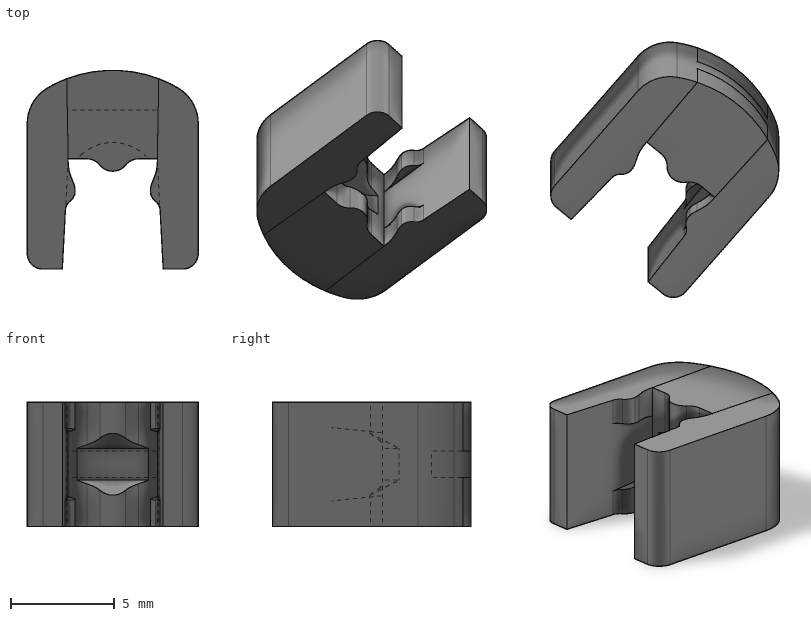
import cadquery as cq
import math

width = 8.25
length = 9.58
height = 6.0
back_radius = 6.23
side_corner_radius = 2.01
front_corner_radius = 0.77

mouth_half_width = 2.42
seat_y = 5.31
seat_half_width = 2.15
back_half_width = 2.22
bridge_height = 1.26
bridge_front_y = 7.66

bump_start_y = 2.86
bump_hollow = (2.06, 3.27)
bump_tip = (1.81, 3.85)
bump_shoulder = (1.93, 4.24)
bump_end_y = seat_y
gap_half_front = 1.76
gap_half_rear = 1.51

nose_half_width = 1.24
nose_depth = 0.59
groove_axis_y = 3.85
groove_radius = 2.25
groove_rim_half_height = 0.77
groove_axis_half_height = 1.935

overrun = 0.1

half_width = width / 2
bottom_z = -height / 2


def channel_half_width(y):
    """Half width of the straight tapered channel wall at the given Y."""
    return mouth_half_width + (seat_half_width - mouth_half_width) * y / seat_y


def prism(outline):
    """Close an XY outline and extrude it over the full height."""
    return outline.close().extrude(height)


def base_plane():
    return cq.Workplane("XY", origin=(0, 0, bottom_z))


def outer_block():
    """Full envelope: crowned back, large rear corners and rounded front corners."""
    back_center_y = length - back_radius
    corner_x = half_width - side_corner_radius
    reach = back_radius - side_corner_radius
    corner_y = back_center_y + math.sqrt(reach**2 - corner_x**2)
    blend_x = corner_x * back_radius / reach
    blend_y = back_center_y + (corner_y - back_center_y) * back_radius / reach
    outline = (
        base_plane()
        .moveTo(-half_width, 0)
        .lineTo(half_width, 0)
        .lineTo(half_width, corner_y)
        .tangentArcPoint((blend_x, blend_y), relative=False)
        .threePointArc((0, length), (-blend_x, blend_y))
        .tangentArcPoint((-half_width, corner_y), relative=False)
    )
    return prism(outline).edges("|Z and <Y").fillet(front_corner_radius)


def channel_cutter():
    outline = base_plane().polyline([
        (-mouth_half_width, 0),
        (mouth_half_width, 0),
        (seat_half_width, seat_y),
        (-seat_half_width, seat_y),
    ])
    return prism(outline)


def insert_zone():
    """Dovetail seat that widens toward the back, without the bridge."""
    taper = (back_half_width - seat_half_width) / (length - seat_y)
    rear_half_width = back_half_width + taper * overrun
    outline = base_plane().polyline([
        (-seat_half_width, seat_y),
        (seat_half_width, seat_y),
        (rear_half_width, length + overrun),
        (-rear_half_width, length + overrun),
    ])
    bridge_depth = length + overrun - bridge_front_y
    bridge = cq.Workplane("XY").box(width, bridge_depth, bridge_height, centered=(True, False, True))
    return prism(outline).cut(bridge.translate((0, bridge_front_y, 0)))


def bump_gap():
    """Clearance between upper and lower bumps, narrowing toward the seat."""
    return (
        cq.Workplane("YZ", origin=(-half_width, 0, 0))
        .polyline([
            (bump_start_y, -gap_half_front),
            (bump_end_y, -gap_half_rear),
            (bump_end_y, gap_half_rear),
            (bump_start_y, gap_half_front),
        ])
        .close()
        .extrude(width)
    )


def wall_bumps():
    """Upper and lower bumps on the +X wall."""
    start = (channel_half_width(bump_start_y), bump_start_y)
    end = (channel_half_width(bump_end_y), bump_end_y)
    outline = (
        base_plane()
        .moveTo(mouth_half_width, 0)
        .lineTo(*start)
        .tangentArcPoint(bump_hollow, relative=False)
        .tangentArcPoint(bump_tip, relative=False)
        .tangentArcPoint(bump_shoulder, relative=False)
        .tangentArcPoint(end, relative=False)
        .lineTo(mouth_half_width, bump_end_y)
    )
    return prism(outline).cut(bump_gap())


def make_housing():
    bumps = wall_bumps()
    body = outer_block().cut(channel_cutter()).cut(insert_zone())
    return body.union(bumps).union(bumps.mirror("YZ"))


def nose():
    """Rounded ridge made from two hollow flanks and a crest of equal curvature."""
    tip_y = seat_y - nose_depth
    blend_x = nose_half_width / 2
    blend_y = seat_y - nose_depth / 2
    outline = (
        base_plane()
        .moveTo(-nose_half_width - overrun, seat_y)
        .lineTo(-nose_half_width, seat_y)
        .tangentArcPoint((-blend_x, blend_y), relative=False)
        .threePointArc((0, tip_y), (blend_x, blend_y))
        .tangentArcPoint((nose_half_width, seat_y), relative=False)
        .lineTo(nose_half_width, seat_y + overrun)
        .lineTo(-nose_half_width - overrun, seat_y + overrun)
    )
    return prism(outline)


def groove_cutter():
    """Cylinder with conical ends around a vertical axis in the channel."""
    return (
        cq.Workplane("XZ", origin=(0, groove_axis_y, 0))
        .polyline([
            (0, -groove_axis_half_height),
            (groove_radius, -groove_rim_half_height),
            (groove_radius, groove_rim_half_height),
            (0, groove_axis_half_height),
        ])
        .close()
        .revolve(360, (0, 0, 0), (0, 1, 0))
    )


def make_insert():
    return outer_block().intersect(insert_zone()).union(nose()).cut(groove_cutter())


housing = make_housing()
insert = make_insert()

result = cq.Compound.makeCompound([housing.val(), insert.val()])